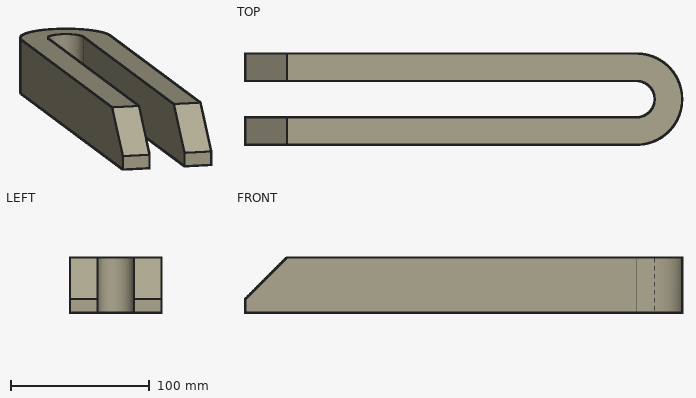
import cadquery as cq

length = 315.0
bar_width = 20.0
slot_width = 26.0
height = 40.0
tip_height = 10.0

inner_radius = slot_width / 2
outer_radius = inner_radius + bar_width
tip_x = outer_radius - length


def round_ended_block(radius):
    """Block from the arm tips to the bend, ending in a half round of the given radius."""
    return (
        cq.Workplane("XY")
        .moveTo(tip_x, -radius)
        .lineTo(0, -radius)
        .threePointArc((radius, 0), (0, radius))
        .lineTo(tip_x, radius)
        .close()
        .extrude(height)
    )


def bevel_arm_tips(body):
    """Slope the top of both arms at 45 degrees down to the tip height."""
    return body.faces("<X").edges(">Z").chamfer(height - tip_height)


def make_clamp():
    """U-shaped clamp strap with an open slot and bevelled arm tips."""
    strap = round_ended_block(outer_radius)
    strap = bevel_arm_tips(strap)
    return strap.cut(round_ended_block(inner_radius))


result = make_clamp()